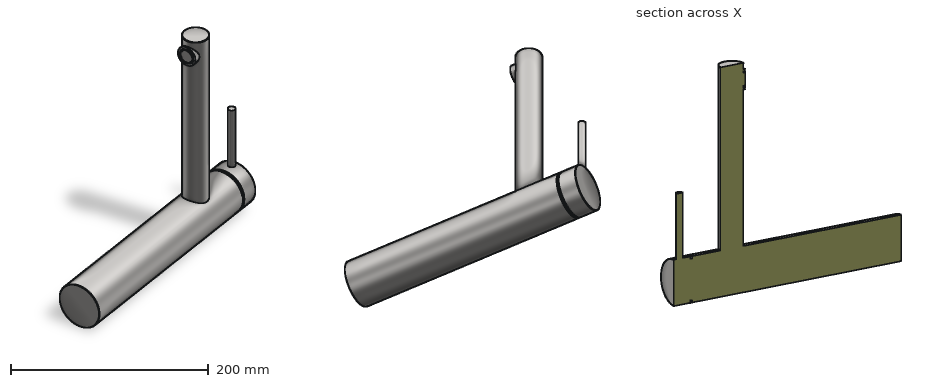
import cadquery as cq

total_length = 271.5
body_diameter = 50.0
body_radius = body_diameter / 2
front_y = -total_length / 2
back_y = total_length / 2
edge_chamfer = 0.5

cap_length = 20.0
groove_width = 1.5
groove_depth = 2.7
neck_diameter = body_diameter - 2 * groove_depth
neck_overlap = cap_length / 2
cap_front_y = back_y - cap_length
body_back_y = cap_front_y - groove_width

overall_height = 245.0
spout_diameter = 28.0
spout_top_z = overall_height - body_radius
spout_setback = 69.5
spout_y = back_y - spout_setback

outlet_drop = 18.0
outlet_z = spout_top_z - outlet_drop
outlet_diameter = 22.0
outlet_projection = 1.5
outlet_bore_diameter = 16.8
outlet_bore_depth = 1.5
nozzle_diameter = 14.7
nozzle_projection = 0.5

lever_diameter = 8.0
lever_setback = 7.0
lever_height = 69.5
lever_y = back_y - lever_setback
lever_top_z = body_radius + lever_height


def rod_along_y(diameter, start_y, end_y, z=0):
    """Solid cylinder from start_y to end_y, start_y < end_y."""
    plane = cq.Workplane("XZ", origin=(0, end_y, z))
    return plane.circle(diameter / 2).extrude(end_y - start_y)


def upright_rod(diameter, y, top_z):
    """Vertical cylinder rising from the body axis to top_z."""
    return cq.Workplane("XY", origin=(0, y, 0)).circle(diameter / 2).extrude(top_z)


def make_body():
    barrel = rod_along_y(body_diameter, front_y, body_back_y).edges("%CIRCLE").chamfer(edge_chamfer)
    cap = rod_along_y(body_diameter, cap_front_y, back_y).edges("%CIRCLE").chamfer(edge_chamfer)
    neck = rod_along_y(neck_diameter, body_back_y - neck_overlap, cap_front_y + neck_overlap)
    return barrel.union(neck).union(cap)


def make_spout():
    return upright_rod(spout_diameter, spout_y, spout_top_z).faces(">Z").edges().chamfer(edge_chamfer)


def add_outlet(spout):
    face_y = spout_y - spout_diameter / 2 - outlet_projection
    collar = rod_along_y(outlet_diameter, face_y, spout_y, outlet_z)
    bore = rod_along_y(outlet_bore_diameter, face_y, face_y + outlet_bore_depth, outlet_z)
    nozzle = rod_along_y(nozzle_diameter, face_y - nozzle_projection, spout_y, outlet_z)
    return spout.union(collar).cut(bore).union(nozzle)


def make_lever():
    return upright_rod(lever_diameter, lever_y, lever_top_z)


result = make_body().union(add_outlet(make_spout())).union(make_lever())